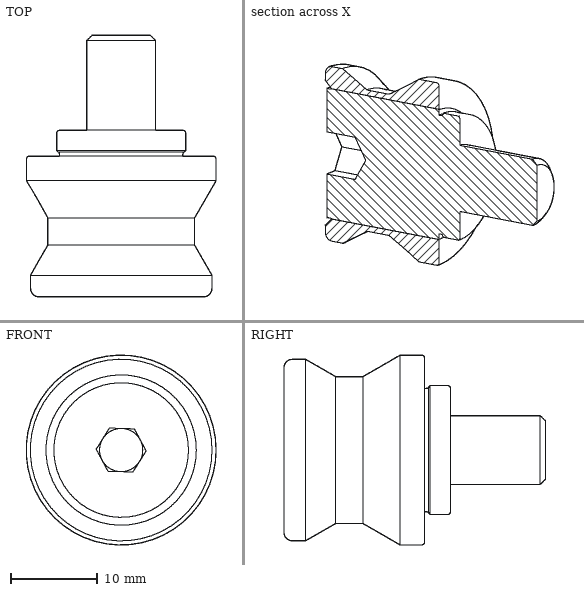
import cadquery as cq
import math


FLANGE_RADIUS = 11.0
RIM_RADIUS = 10.5
WAIST_RADIUS = 8.5
RIM_END = 2.5
WAIST_START = 6.0
WAIST_END = 9.15
FLANGE_START = 13.45
ROLLER_LENGTH = 16.3
RIM_FILLET = 1.0
FLANGE_FILLET = 0.35
BORE_RADIUS = 7.8
BORE_CHAMFER = 0.9

HEAD_RECESS = 0.27
COLLAR_RADIUS = 7.48
COLLAR_NECK_RADIUS = 7.15
COLLAR_NECK_END = 16.48
COLLAR_NECK_FLARE = 0.05
COLLAR_START = 16.75
COLLAR_END = 19.3
COLLAR_FILLET = 0.35
COLLAR_FRONT_CHAMFER = 0.18
SHANK_RADIUS = 4.0
STUD_END = 30.3
TIP_CHAMFER = 0.65

HEX_FLATS = 5.0
HEX_TURN = -1.9
HEX_DEPTH = 4.0
DRILL_POINT_ANGLE = 118.0
HEX_SIDES = 6


def turned(points):
    """Revolve a closed (radius, y) outline about the Y axis."""
    return cq.Workplane("XY").polyline(points).close().revolve(360, (0, 0, 0), (0, 1, 0))


def make_roller():
    body = turned([
        (0, 0),
        (RIM_RADIUS, 0),
        (RIM_RADIUS, RIM_END),
        (WAIST_RADIUS, WAIST_START),
        (WAIST_RADIUS, WAIST_END),
        (FLANGE_RADIUS, FLANGE_START),
        (FLANGE_RADIUS, ROLLER_LENGTH),
        (0, ROLLER_LENGTH),
    ])
    body = body.faces("<Y").edges().fillet(RIM_FILLET)
    body = body.faces(">Y").edges().fillet(FLANGE_FILLET)
    bore = turned([
        (0, 0),
        (BORE_RADIUS + BORE_CHAMFER, 0),
        (BORE_RADIUS, BORE_CHAMFER),
        (BORE_RADIUS, ROLLER_LENGTH),
        (0, ROLLER_LENGTH),
    ])
    return body.cut(bore)


def make_socket():
    """Hexagonal socket with a conical drill point at its floor."""
    floor = HEAD_RECESS + HEX_DEPTH
    drill_radius = HEX_FLATS / 2
    point_depth = drill_radius / math.tan(math.radians(DRILL_POINT_ANGLE / 2))
    corner_diameter = HEX_FLATS / math.cos(math.pi / HEX_SIDES)
    hexagon = (
        cq.Workplane("XZ", origin=(0, HEAD_RECESS, 0))
        .transformed(rotate=(0, 0, HEX_TURN))
        .polygon(HEX_SIDES, corner_diameter)
        .extrude(-HEX_DEPTH)
    )
    drill_point = turned([(0, floor), (drill_radius, floor), (0, floor + point_depth)])
    return hexagon.union(drill_point)


def make_stud():
    head = turned([
        (0, HEAD_RECESS),
        (BORE_RADIUS, HEAD_RECESS),
        (BORE_RADIUS, ROLLER_LENGTH),
        (0, ROLLER_LENGTH),
    ])
    neck = turned([
        (0, ROLLER_LENGTH),
        (COLLAR_NECK_RADIUS, ROLLER_LENGTH),
        (COLLAR_NECK_RADIUS, COLLAR_NECK_END),
        (COLLAR_NECK_RADIUS + COLLAR_NECK_FLARE, COLLAR_START),
        (0, COLLAR_START),
    ])
    collar = turned([
        (0, COLLAR_START),
        (COLLAR_RADIUS, COLLAR_START),
        (COLLAR_RADIUS, COLLAR_END),
        (0, COLLAR_END),
    ])
    collar = collar.faces(">Y").edges().fillet(COLLAR_FILLET)
    collar = collar.faces("<Y").edges().chamfer(COLLAR_FRONT_CHAMFER)
    shank = turned([
        (0, COLLAR_END),
        (SHANK_RADIUS, COLLAR_END),
        (SHANK_RADIUS, STUD_END),
        (0, STUD_END),
    ])
    shank = shank.faces(">Y").edges().chamfer(TIP_CHAMFER)
    return head.union(neck).union(collar).union(shank).cut(make_socket())


roller = make_roller()
stud = make_stud()
result = cq.Compound.makeCompound([roller.val(), stud.val()])